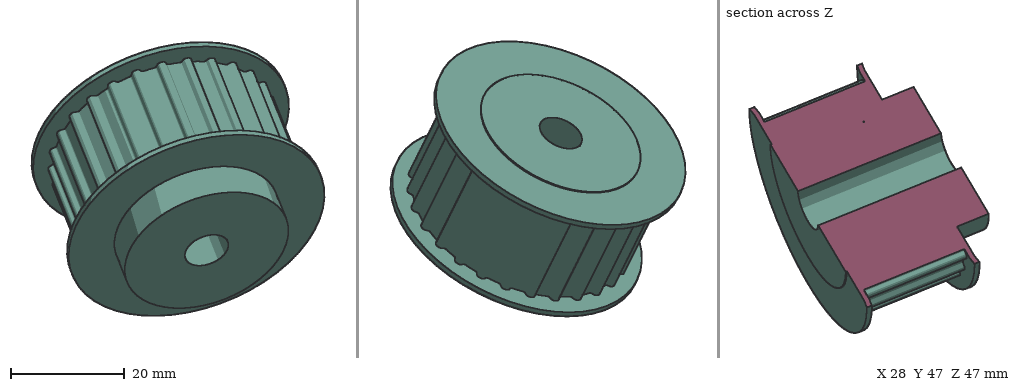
import cadquery as cq
import math


flange_radius = 23.5
total_length = 28.0
hub_radius = 15.05
bore_radius = 4.0

flange_flat_radius = 22.0
flange_thickness = 1.05
flange_bend = 0.25
belt_width = 19.55

tooth_count = 27
tip_radius = 20.85
root_radius = 19.85
tooth_base_width = 2.05
flank_angle = 22.0
tip_fillet = 0.7
root_fillet = 0.4

belt_start = flange_bend + flange_thickness
belt_end = belt_start + belt_width


def cylinder(radius):
    """Solid cylinder on the X axis over the full length of the pulley."""
    return cq.Workplane("YZ").circle(radius).extrude(total_length)


def flange(inner_x, outward):
    """Flange with its flat inner face at inner_x; outward is the X direction away from the belt."""
    outer_x = inner_x + outward * flange_thickness
    bend = outward * flange_bend
    half_section = [
        (inner_x, 0),
        (inner_x, flange_flat_radius),
        (inner_x + bend, flange_radius),
        (outer_x + bend, flange_radius),
        (outer_x, flange_flat_radius),
        (outer_x, 0),
    ]
    return cq.Workplane("XZ").polyline(half_section).close().revolve(360, (0, 0, 0), (1, 0, 0))


def turned(y, z, angle):
    """Point (y, z) turned about the X axis by an angle in radians."""
    return (
        y * math.cos(angle) - z * math.sin(angle),
        y * math.sin(angle) + z * math.cos(angle),
    )


def edge_radius(edge):
    """Distance of an edge's centre from the X axis."""
    return math.hypot(edge.Center().y, edge.Center().z)


def toothed_drum():
    """Drum between the flanges, with one tooth centred on +Z."""
    pitch_angle = 2 * math.pi / tooth_count
    half_base = tooth_base_width / 2
    base_height = math.sqrt(root_radius**2 - half_base**2)
    half_tip = half_base - (tip_radius - base_height) * math.tan(math.radians(flank_angle))
    tip_height = math.sqrt(tip_radius**2 - half_tip**2)

    outline = cq.Workplane("YZ", origin=(belt_start, 0, 0)).moveTo(half_base, base_height)
    for index in range(tooth_count):
        angle = index * pitch_angle
        next_angle = angle + pitch_angle
        groove_angle = angle + pitch_angle / 2
        outline = (
            outline.lineTo(*turned(half_tip, tip_height, angle))
            .threePointArc(turned(0, tip_radius, angle), turned(-half_tip, tip_height, angle))
            .lineTo(*turned(-half_base, base_height, angle))
            .threePointArc(
                turned(0, root_radius, groove_angle),
                turned(half_base, base_height, next_angle),
            )
        )
    drum = outline.close().extrude(belt_width)

    middle_radius = (root_radius + tip_radius) / 2
    drum = drum.edges("|X").filter(lambda edge: edge_radius(edge) < middle_radius).fillet(root_fillet)

    tolerance = 0.005
    drum = drum.edges("|X").filter(lambda edge: edge_radius(edge) > tip_radius - tolerance)
    return drum.fillet(tip_fillet)


result = toothed_drum()
result = result.union(flange(belt_start, -1))
result = result.union(flange(belt_end, 1))

result = result.union(cylinder(hub_radius))
result = result.cut(cylinder(bore_radius))